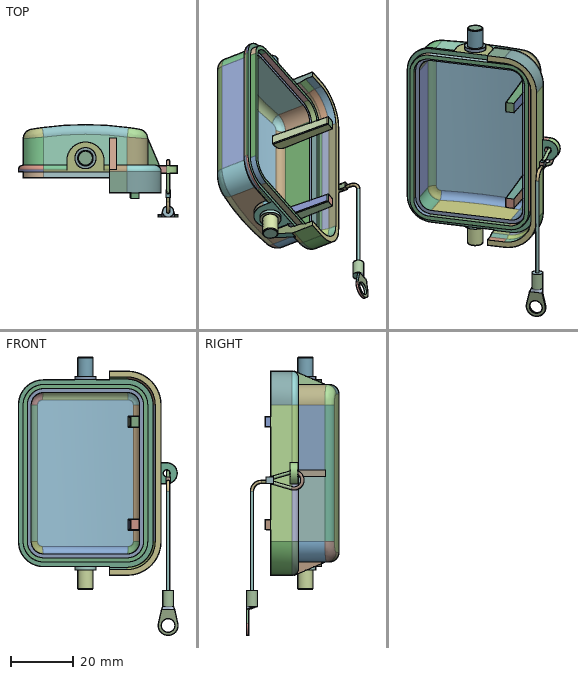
import cadquery as cq
import math


overall_length = 89.1

flange_half_x = 21.5
flange_half_z = 29.9
flange_corner = 8.1
flange_back = -2.2
flange_front = -4.4
bead_radius = 1.5

body_inset = 1.5
seal_inset = 2.85
cavity_inset = 4.1
rim_front = -6.3
seal_ledge = flange_front
dome_peak = 10.8
dome_radius = 100.7
dome_fillet = 3.1
wall = cavity_inset - body_inset
floor_fillet = 2.4
body_half_x = flange_half_x - body_inset
body_half_z = flange_half_z - body_inset

hood_start_x = 7.7
hood_front = -11.1
hood_outer_growth = 2.8
hood_back_fillet = 2.05
hood_root_growth = 0.2
hood_step_growth = 0.3
hood_mouth_growth = 0.9
hood_step_back = -6.4
hood_step_front = -8.55

rib_width = 2.2
rib_top = 6.4
rib_bottom = -3.6
rib_rise = 4.3
rib_embed = 0.9

pin_radius = 2.5
pin_end = 37.15
pin_chamfer = 0.3
collar_radius = 3.4
collar_end = 31.0
boss_radius = 6.0
boss_arc_y = -0.8
pivot_embed = 0.9
boss_bottom = flange_back - bead_radius

peg_z = 16.5
peg_tip = -12.9
peg_root = 7.1
peg_wall_gap = 0.2
peg_right = flange_half_x - cavity_inset - peg_wall_gap
peg_root_left = 13.5
peg_tip_left = 14.35
peg_root_width = 3.7
peg_tip_width = 3.2
peg_bevel = 0.3

tab_x = 26.0
tab_radius = 3.4
tab_hole_radius = 1.1
tab_back = -2.4
tab_front = -4.9
tab_mid = (tab_back + tab_front) / 2

wire_x = 26.5
wire_radius = 0.5
loop_radius = 2.7
loop_z = -2.2
strand_gap = 1.1
crimp_back = -10.2
crimp_front = -12.65
crimp_mid = (crimp_back + crimp_front) / 2
crimp_width = 1.4
crimp_height = 2.1
wire_y = -17.1
bend_radius = 3.0
wire_start_z = loop_z - strand_gap / 2

barrel_radius = 1.8
barrel_top = -37.5
barrel_bottom = -42.7
lug_thickness = 0.8
lug_radius = 3.2
lug_hole_radius = 2.1
lug_z = lug_radius + pin_end - overall_length
lug_top_half = 2.1
neck_bottom = -43.7
lug_front = wire_y - barrel_radius
lug_back = lug_front + lug_thickness


def outline(growth, y):
    """Flange outline in the plane at y, grown outwards from the flange edge."""
    half_x = flange_half_x + growth
    half_z = flange_half_z + growth
    sketch = cq.Sketch().rect(2 * half_x, 2 * half_z).vertices().fillet(flange_corner + growth)
    return cq.Workplane("XZ", origin=(0, y, 0)).placeSketch(sketch)


def slab(growth, back, front):
    """Plate with a grown flange outline, from y = back to y = front."""
    return outline(growth, back).extrude(back - front)


def flare(back_growth, back, front_growth, front):
    """Plate whose outline grows evenly from y = back to y = front."""
    depth = back - front
    slope = math.degrees(math.atan((front_growth - back_growth) / depth))
    return outline(back_growth, back).extrude(depth, taper=-slope)


def domed_block(inset, peak, radius, front, edge_fillet):
    """Rounded block with a back face curved about a Z-parallel axis and a rounded back edge."""
    cylinder = (
        cq.Workplane("XY", origin=(0, peak - radius, -flange_half_z))
        .circle(radius)
        .extrude(2 * flange_half_z)
    )
    block = slab(-inset, peak, front).intersect(cylinder)
    return block.faces(">Y").edges().fillet(edge_fillet)


def mirrored_in_z(solid):
    return solid.union(solid.mirror("XY"))


def cylinder_along_z(radius, bottom, top, x=0, y=0):
    return cq.Workplane("XY", origin=(x, y, bottom)).circle(radius).extrude(top - bottom)


def make_shell():
    """Domed body with its beaded flange."""
    body = domed_block(body_inset, dome_peak, dome_radius, rim_front, dome_fillet)
    flange = slab(0, flange_back, flange_front).faces(">Y").edges().fillet(bead_radius)
    return body.union(flange)


def make_cavity():
    """Inside of the body, with the seal ledge just inside the rim."""
    pocket = domed_block(cavity_inset, dome_peak - wall, dome_radius - wall, rim_front, floor_fillet)
    return pocket.union(slab(-seal_inset, seal_ledge, rim_front))


def make_hood():
    """Raised wall around the +X half of the mouth, stepped on its inside."""
    wall_block = slab(hood_outer_growth, flange_back, hood_front)
    wall_block = wall_block.faces(">Y").edges().fillet(hood_back_fillet)
    inside = (
        flare(hood_root_growth, flange_front, hood_step_growth, hood_step_back)
        .union(flare(hood_step_growth, hood_step_back, hood_mouth_growth, hood_step_front))
        .union(slab(hood_mouth_growth, hood_step_front, hood_front))
    )
    kept_half = cq.Workplane("XY", origin=(hood_start_x, 0, 0)).box(
        overall_length, overall_length, overall_length, centered=(False, True, True)
    )
    return wall_block.cut(inside).intersect(kept_half)


def rib_profile(plane, origin, base):
    """Triangular rib profile: base is the body face, drawn as (distance outwards, y)."""
    return (
        cq.Workplane(plane, origin=origin)
        .moveTo(base - rib_embed, rib_top)
        .lineTo(base, rib_top)
        .lineTo(base + rib_rise, rib_bottom)
        .lineTo(base - rib_embed, rib_bottom)
        .close()
    )


def make_ribs():
    """One rib at each start of the hood and one behind the lanyard tab."""
    side_rib = rib_profile("XY", (0, 0, -rib_width / 2), body_half_x).extrude(rib_width)
    end_rib = rib_profile("ZY", (hood_start_x + rib_width, 0, 0), body_half_z).extrude(rib_width)
    return side_rib.union(mirrored_in_z(end_rib))


def make_pivot():
    """Pin, collar and D-shaped boss on the +Z end."""
    boss = (
        cq.Workplane("XY", origin=(0, 0, body_half_z - pivot_embed))
        .moveTo(-boss_radius, boss_bottom)
        .lineTo(-boss_radius, boss_arc_y)
        .threePointArc((0, boss_arc_y + boss_radius), (boss_radius, boss_arc_y))
        .lineTo(boss_radius, boss_bottom)
        .close()
        .extrude(flange_half_z - body_half_z + pivot_embed)
    )
    collar = cylinder_along_z(collar_radius, body_half_z, collar_end)
    pin = cylinder_along_z(pin_radius, body_half_z, pin_end).faces(">Z").chamfer(pin_chamfer)
    return boss.union(collar).union(pin)


def make_peg():
    """Tapered guide peg with bevelled edges on its free side, on the +Z side."""
    root_length = peg_right - peg_root_left
    tip_length = peg_right - peg_tip_left
    peg = (
        cq.Workplane("XZ", origin=(0, peg_root, peg_z))
        .center(peg_right - root_length / 2, 0)
        .rect(root_length, peg_root_width)
        .workplane(offset=peg_root - peg_tip)
        .center((root_length - tip_length) / 2, 0)
        .rect(tip_length, peg_tip_width)
        .loft(ruled=True)
    )
    return peg.faces("<X").edges("not(>Y)").chamfer(peg_bevel)


def make_tab():
    """Rounded tab with the lanyard hole."""
    root_x = flange_half_x + hood_mouth_growth
    plate = (
        cq.Workplane("XZ", origin=(0, tab_back, 0))
        .moveTo(root_x, tab_radius)
        .lineTo(tab_x, tab_radius)
        .threePointArc((tab_x + tab_radius, 0), (tab_x, -tab_radius))
        .lineTo(root_x, -tab_radius)
        .close()
        .extrude(tab_back - tab_front)
    )
    hole_start = cq.Workplane("XZ", origin=(tab_x, tab_back, 0))
    return plate.cut(hole_start.circle(tab_hole_radius).extrude(tab_back - tab_front))


def make_loop():
    """Wire loop through the tab hole, with both strands ending in the crimp sleeve."""
    strand_length = tab_mid - crimp_mid
    strand_offset = strand_gap / 2
    reach = math.hypot(strand_length, strand_offset)
    angle = math.acos(loop_radius / reach) + math.atan2(strand_offset, strand_length)
    touch_y = tab_mid - loop_radius * math.cos(angle)
    touch_z = loop_radius * math.sin(angle)
    path = (
        cq.Workplane("YZ", origin=(wire_x, 0, loop_z))
        .moveTo(crimp_mid, -strand_offset)
        .lineTo(touch_y, -touch_z)
        .threePointArc((tab_mid + loop_radius, 0), (touch_y, touch_z))
        .lineTo(crimp_mid, strand_offset)
    )
    start = cq.Plane(
        origin=(wire_x, crimp_mid, loop_z - strand_offset),
        xDir=(1, 0, 0),
        normal=(0, touch_y - crimp_mid, strand_offset - touch_z),
    )
    loop = cq.Workplane(start).circle(wire_radius).sweep(path)
    sleeve = cq.Workplane("XY").box(crimp_width, crimp_back - crimp_front, crimp_height)
    return loop.union(sleeve.translate((wire_x, crimp_mid, loop_z)))


def make_wire():
    """Wire that leaves the sleeve along -Y and bends down to the ring terminal."""
    bend_y = wire_y + bend_radius
    bend_z = wire_start_z - bend_radius
    diagonal = bend_radius * math.sqrt(0.5)
    path = (
        cq.Workplane("YZ", origin=(wire_x, 0, 0))
        .moveTo(crimp_front, wire_start_z)
        .lineTo(bend_y, wire_start_z)
        .threePointArc((bend_y - diagonal, bend_z + diagonal), (wire_y, bend_z))
        .lineTo(wire_y, barrel_top)
    )
    start = cq.Workplane("XZ", origin=(wire_x, crimp_front, wire_start_z))
    return start.circle(wire_radius).sweep(path)


def make_terminal():
    """Crimp barrel with a flat eyelet lug."""
    barrel = cylinder_along_z(barrel_radius, barrel_bottom, barrel_top, wire_x, wire_y)

    rise = neck_bottom - lug_z
    reach = math.hypot(lug_top_half, rise)
    angle = math.atan2(rise, lug_top_half) - math.acos(lug_radius / reach)
    touch_x = lug_radius * math.cos(angle)
    touch_z = lug_z + lug_radius * math.sin(angle)
    lug = (
        cq.Workplane("XZ", origin=(wire_x, lug_back, 0))
        .moveTo(-lug_top_half, neck_bottom)
        .lineTo(lug_top_half, neck_bottom)
        .lineTo(touch_x, touch_z)
        .threePointArc((0, lug_z - lug_radius), (-touch_x, touch_z))
        .close()
        .moveTo(0, lug_z)
        .circle(lug_hole_radius)
        .extrude(lug_thickness)
    )
    neck = (
        cq.Workplane("XY", origin=(wire_x, wire_y, barrel_bottom))
        .circle(barrel_radius)
        .workplane(offset=neck_bottom - barrel_bottom)
        .center(0, (lug_front + lug_back) / 2 - wire_y)
        .rect(2 * lug_top_half, lug_thickness)
        .loft(ruled=True)
    )
    return barrel.union(neck).union(lug)


cover = make_shell().union(make_hood()).union(make_ribs()).union(mirrored_in_z(make_pivot()))
cover = cover.cut(make_cavity()).union(mirrored_in_z(make_peg())).union(make_tab())
lanyard = make_loop().union(make_wire()).union(make_terminal())
result = cover.union(lanyard)